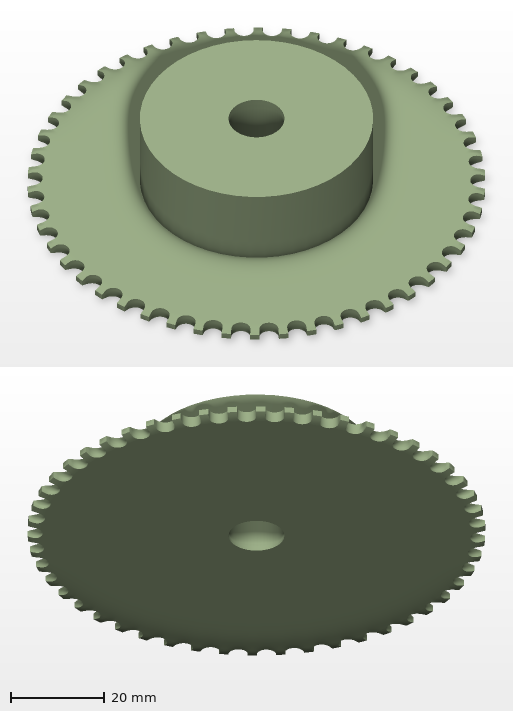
import cadquery as cq
import math

tooth_count = 50
tip_radius = 49.0
pitch_radius = 47.8
gap_width = 4.1
plate_thickness = 2.45
tooth_side_radius = 7.35
tooth_side_length = 2.8
hub_diameter = 50.0
bore_diameter = 12.0
total_height = 20.0


def make_plate():
    """Revolve the toothed plate blank, its rim narrowed by a tangent arc on each face."""
    side_start = tip_radius - tooth_side_length

    def drop_at(distance):
        """Depth of the rim arc below the plate face, this far outward from its tangent start."""
        return tooth_side_radius - math.sqrt(tooth_side_radius**2 - distance**2)

    half_length = tooth_side_length / 2
    tip_drop = drop_at(tooth_side_length)
    mid_drop = drop_at(half_length)
    return (
        cq.Workplane("XZ")
        .lineTo(side_start, 0)
        .threePointArc((side_start + half_length, mid_drop), (tip_radius, tip_drop))
        .lineTo(tip_radius, plate_thickness - tip_drop)
        .threePointArc(
            (side_start + half_length, plate_thickness - mid_drop),
            (side_start, plate_thickness),
        )
        .lineTo(0, plate_thickness)
        .close()
        .revolve(360, (0, 0, 0), (0, 1, 0))
    )


def make_tooth_gaps():
    """Round-bottomed, parallel-sided gaps seated on the pitch circle, open at the rim."""
    slot_length = 2 * gap_width
    slot_center = pitch_radius + (slot_length - gap_width) / 2
    return (
        cq.Workplane("XY")
        .polarArray(slot_center, 0, 360, tooth_count)
        .slot2D(slot_length, gap_width)
        .extrude(plate_thickness)
    )


def make_hub():
    return cq.Workplane("XY").circle(hub_diameter / 2).extrude(total_height)


def make_bore():
    return cq.Workplane("XY").circle(bore_diameter / 2).extrude(total_height)


result = make_plate().cut(make_tooth_gaps()).union(make_hub()).cut(make_bore())